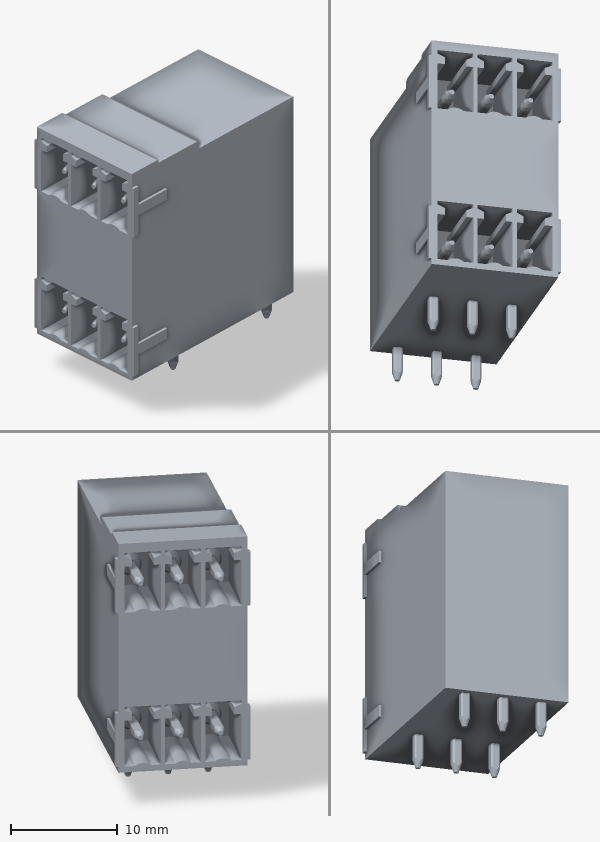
import cadquery as cq


columns = 3
column_pitch = 3.8
row_pitch = 15.28
pin_axis_z = 2.9
tail_y_lower = 8.03
tail_y_upper = 20.72

housing_width = 12.28
housing_depth = 21.9
housing_height = 22.7
front_drop = 0.35
front_step_y = 3.6
front_edge_radius = 0.18
rear_deck_z = 21.47
rear_step_y = 9.2
rear_edge_radius = 0.5

overall_width = 12.82
flange_depth = 0.6
flange_bottom_z = 0.57
flange_top_z = 5.9
rib_bottom_z = 2.75
rib_top_z = 3.88
rib_length = 4.5

socket_depth = 7.0
socket_floor_z = 0.57
socket_roof_z = 6.48
partition = 0.41
sockets_width = 11.14
hump_width = 1.55
hump_height = 0.25
lug_gap = 2.1
lug_bottom_z = 5.13
lug_tip_top_z = 5.83
lug_root_top_z = 6.1

boss_base_radius = 1.11
boss_shoulder_radius = 0.85
boss_top_radius = 0.67
boss_height = 0.78
boss_bevel_height = 0.13

pin_side = 0.9
pin_edge_bevel = 0.15
tip_radius = 0.23
tip_taper = 2.9
tail_length = 3.2
contact_tip_y = 1.22

column_xs = [(i - (columns - 1) / 2) * column_pitch for i in range(columns)]
rows = [(0.0, tail_y_lower), (row_pitch, tail_y_upper)]


def make_block():
    """Stepped housing block, extruded across X from its side profile, with rounded step edges."""
    middle_deck_z = housing_height - front_drop
    block = (
        cq.Workplane("YZ")
        .moveTo(0, 0)
        .lineTo(housing_depth, 0)
        .lineTo(housing_depth, rear_deck_z)
        .lineTo(rear_step_y, rear_deck_z)
        .lineTo(rear_step_y, middle_deck_z)
        .lineTo(front_step_y, middle_deck_z)
        .lineTo(front_step_y, housing_height)
        .lineTo(0, housing_height)
        .close()
        .extrude(housing_width / 2, both=True)
    )
    front_edge = cq.NearestToPointSelector((0, front_step_y, housing_height))
    rear_edge = cq.NearestToPointSelector((0, rear_step_y, middle_deck_z))
    return block.edges(front_edge).fillet(front_edge_radius).edges(rear_edge).fillet(rear_edge_radius)


def make_rail(row_z):
    """T-shaped rail across the full overall width, so that it stands out on both sides."""
    return (
        cq.Workplane("YZ")
        .moveTo(0, row_z + flange_bottom_z)
        .lineTo(flange_depth, row_z + flange_bottom_z)
        .lineTo(flange_depth, row_z + rib_bottom_z)
        .lineTo(rib_length, row_z + rib_bottom_z)
        .lineTo(rib_length, row_z + rib_top_z)
        .lineTo(flange_depth, row_z + rib_top_z)
        .lineTo(flange_depth, row_z + flange_top_z)
        .lineTo(0, row_z + flange_top_z)
        .close()
        .extrude(overall_width / 2, both=True)
    )


def make_socket(column_x, row_z):
    """Socket cavity with a humped floor and two lugs narrowing it under the roof."""
    wall_reach = (column_pitch - partition) / 2
    left_x = column_x - wall_reach
    right_x = column_x + wall_reach
    if column_x == column_xs[0]:
        left_x = -sockets_width / 2
    if column_x == column_xs[-1]:
        right_x = sockets_width / 2
    lug_left_x = column_x - lug_gap / 2
    lug_right_x = column_x + lug_gap / 2
    return (
        cq.Workplane("XZ")
        .moveTo(left_x, socket_floor_z)
        .lineTo(column_x - hump_width / 2, socket_floor_z)
        .threePointArc(
            (column_x, socket_floor_z + hump_height),
            (column_x + hump_width / 2, socket_floor_z),
        )
        .lineTo(right_x, socket_floor_z)
        .lineTo(right_x, lug_bottom_z)
        .lineTo(lug_right_x, lug_bottom_z)
        .lineTo(lug_right_x, lug_tip_top_z)
        .lineTo(right_x, lug_root_top_z)
        .lineTo(right_x, socket_roof_z)
        .lineTo(left_x, socket_roof_z)
        .lineTo(left_x, lug_root_top_z)
        .lineTo(lug_left_x, lug_tip_top_z)
        .lineTo(lug_left_x, lug_bottom_z)
        .lineTo(left_x, lug_bottom_z)
        .close()
        .extrude(-socket_depth)
        .translate((0, 0, row_z))
    )


def make_boss(column_x, row_z):
    """Conical boss with a bevelled rim, standing on the socket's back wall."""
    shoulder_y = socket_depth - boss_height + boss_bevel_height
    return (
        cq.Workplane("XY")
        .moveTo(0, socket_depth)
        .lineTo(boss_base_radius, socket_depth)
        .lineTo(boss_shoulder_radius, shoulder_y)
        .lineTo(boss_top_radius, socket_depth - boss_height)
        .lineTo(0, socket_depth - boss_height)
        .close()
        .revolve(360, (0, 0, 0), (0, 1, 0))
        .translate((column_x, 0, row_z + pin_axis_z))
    )


def make_leg(length):
    """Square bar along +Z with bevelled edges, tapered to a round tip at the origin."""
    bar = (
        cq.Workplane("XY")
        .rect(pin_side, pin_side)
        .extrude(length)
        .edges("|Z")
        .chamfer(pin_edge_bevel)
    )
    cone_end_radius = pin_side
    cone_end_z = (cone_end_radius - tip_radius) * tip_taper
    envelope = (
        cq.Workplane("XZ")
        .moveTo(0, 0)
        .lineTo(tip_radius, 0)
        .lineTo(cone_end_radius, cone_end_z)
        .lineTo(cone_end_radius, length)
        .lineTo(0, length)
        .close()
        .revolve(360, (0, 0, 0), (0, 1, 0))
    )
    return bar.intersect(envelope)


def make_pin(column_x, row_z, tail_y):
    """Right-angle pin: a contact leg along Y and a solder tail down through the housing floor."""
    axis_z = row_z + pin_axis_z
    contact = (
        make_leg(tail_y + pin_side / 2 - contact_tip_y)
        .rotate((0, 0, 0), (1, 0, 0), -90)
        .translate((column_x, contact_tip_y, axis_z))
    )
    tail = make_leg(axis_z + pin_side / 2 + tail_length).translate((column_x, tail_y, -tail_length))
    return contact.union(tail)


def make_housing(pins):
    """Block with rails, sockets and bosses, and a channel for each pin."""
    housing = make_block()
    for row_z, _ in rows:
        housing = housing.union(make_rail(row_z))
        for column_x in column_xs:
            housing = housing.cut(make_socket(column_x, row_z))
            housing = housing.union(make_boss(column_x, row_z))
    for pin in pins:
        housing = housing.cut(pin)
    return housing


pins = [make_pin(column_x, row_z, tail_y) for row_z, tail_y in rows for column_x in column_xs]
housing = make_housing(pins)

result = cq.Compound.makeCompound([housing.val(), *[pin.val() for pin in pins]])